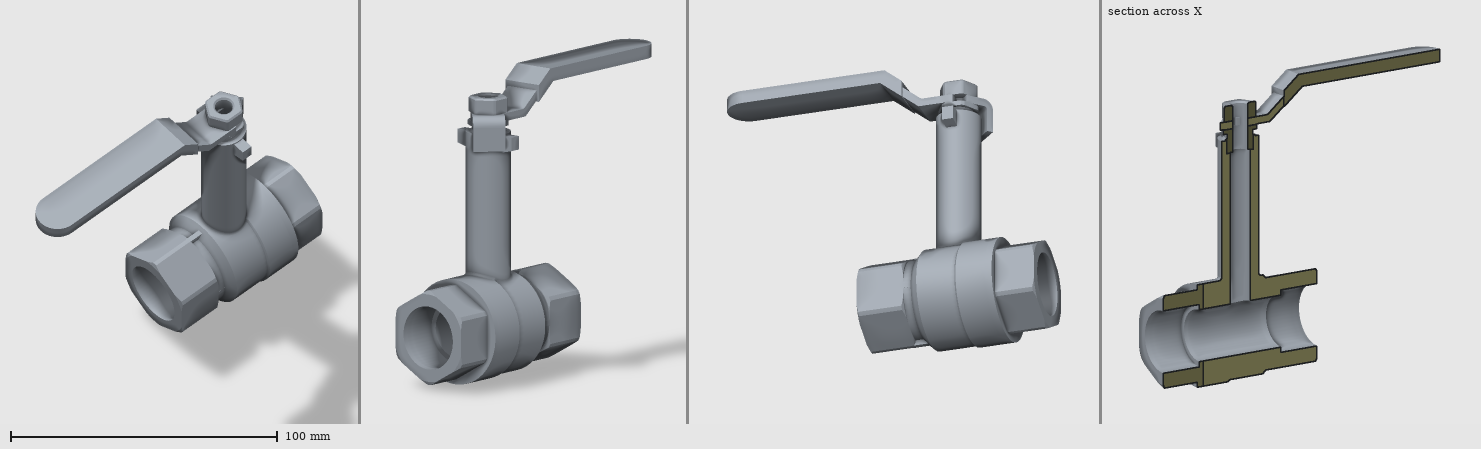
import cadquery as cq
import math


end_y = 35.0
hex_flats = 32.0
hex_round_dia = 36.0
hex_face_dia = 33.4
hex_chamfer = 0.6
port_dia = 20.0
socket_dia = 24.1
socket_depth = 16.4

collar_dia = 40.0
collar_back_y = 19.7
seam_y = 16.9
collar_front_y = 5.4
barrel_dia = 38.5
barrel_front_y = -10.3
neck_dia = 32.0
neck_front_y = -16.6
rib_width = 2.0
rib_overlap = 1.3

tube_dia = 17.0
tube_bore_dia = 9.0
tube_top_z = 73.8
crown_base_dia = 14.0
crown_top_dia = 12.3
crown_height = 0.8
tube_foot_fillet = 1.0
stop_span = 26.5
stop_width = 4.3
stop_top_z = 73.2
stop_outer_height = 5.2
stop_root_height = 6.3

gland_dia = 12.0
gland_depth = 5.0
gland_flats = 14.0
gland_round_dia = 15.5
gland_hex_z = 76.2
gland_chamfer = 0.3
stem_hole_dia = 6.7

plate_bottom_z = 78.1
plate_thickness = 3.0
plate_width = 14.0
slot_flats = 5.0
plate_bend_y = -12.5
plate_bend_radius = 2.3
climb_angle = 38.5
lug_outer = 11.1
lug_left = -5.5
lug_right = 6.5
lug_direction = 135.0
lug_bottom_z = 68.0
lug_thickness = 2.4
lug_outer_bend = 4.0
lug_inner_bend = 1.4

grip_start_y = -19.9
grip_end_y = -91.0
grip_width = 16.4
grip_thickness = 5.0
grip_top_z = 94.57
grip_bend_y = -26.6

nut_flats = 13.1
nut_round_dia = 14.6
nut_height = 6.0
nut_chamfer = 0.6
nut_hole_rim_dia = 8.0

plate_top_z = plate_bottom_z + plate_thickness
climb_slope = math.tan(math.radians(climb_angle))
half_bend_slope = math.tan(math.radians(climb_angle / 2))


def upright_cylinder(diameter, bottom_z, top_z):
    return cq.Workplane("XY").workplane(offset=bottom_z).circle(diameter / 2).extrude(top_z - bottom_z)


def turned_about_y(points):
    """Solid of revolution about Y from (radius, y) points."""
    return cq.Workplane("XY").polyline(points).close().revolve(360, (0, 0, 0), (0, 1, 0))


def hexagon(plane, flats):
    """Hexagon with two flats facing along X."""
    corner_radius = flats / 2 / math.cos(math.pi / 6)
    corners = []
    for i in range(6):
        angle = (i + 0.5) * math.pi / 3
        corners.append((corner_radius * math.cos(angle), corner_radius * math.sin(angle)))
    return cq.Workplane(plane).polyline(corners).close()


def upright_hexagon(flats, round_dia, bottom_z, top_z):
    """Hexagonal prism along Z with its corners trimmed to a cylinder."""
    prism = hexagon("XY", flats).extrude(top_z - bottom_z).translate((0, 0, bottom_z))
    return prism.intersect(upright_cylinder(round_dia, bottom_z, top_z))


def pipe_hexagon(inner_y, outer_y, inner_face_dia):
    """Hexagonal pipe end from inner_y to outer_y, its corners trimmed and chamfered."""
    toward_end = math.copysign(1, outer_y - inner_y)
    prism = hexagon("XZ", hex_flats).extrude(-(outer_y - inner_y)).translate((0, inner_y, 0))
    trim = turned_about_y([
        (0, inner_y),
        (inner_face_dia / 2, inner_y),
        (hex_round_dia / 2, inner_y + toward_end * hex_chamfer),
        (hex_round_dia / 2, outer_y - toward_end * hex_chamfer),
        (hex_face_dia / 2, outer_y),
        (0, outer_y),
    ])
    return prism.intersect(trim)


def flow_passage():
    """Passage along Y with a wider pipe socket at each end."""
    socket_floor = end_y - socket_depth
    return turned_about_y([
        (0, -end_y),
        (socket_dia / 2, -end_y),
        (socket_dia / 2, -socket_floor),
        (port_dia / 2, -socket_floor),
        (port_dia / 2, socket_floor),
        (socket_dia / 2, socket_floor),
        (socket_dia / 2, end_y),
        (0, end_y),
    ])


def make_barrel():
    collar_step = (collar_dia - barrel_dia) / 2
    cone_length = (barrel_dia - neck_dia) / 2
    return turned_about_y([
        (0, seam_y),
        (collar_dia / 2, seam_y),
        (collar_dia / 2, collar_front_y),
        (barrel_dia / 2, collar_front_y - collar_step),
        (barrel_dia / 2, barrel_front_y),
        (neck_dia / 2, barrel_front_y - cone_length),
        (neck_dia / 2, neck_front_y),
        (0, neck_front_y),
    ])


def make_neck_ribs():
    """Four ribs that carry the hexagon's outline across the neck into the cone."""
    rib_front_y = neck_front_y - rib_overlap
    length = barrel_front_y - rib_front_y
    center = (0, (barrel_front_y + rib_front_y) / 2, 0)
    upright = cq.Workplane("XY").box(rib_width, length, hex_round_dia).translate(center)
    level = cq.Workplane("XY").box(hex_flats, length, rib_width).translate(center)
    return upright.union(level)


def make_handle_stops():
    """Two stops on opposite sides of the tube, with undersides that slope down to the tube."""
    tip = stop_span / 2
    root = tube_dia / 2
    outline = [
        (-tip, stop_top_z),
        (tip, stop_top_z),
        (tip, stop_top_z - stop_outer_height),
        (root, stop_top_z - stop_root_height),
        (-root, stop_top_z - stop_root_height),
        (-tip, stop_top_z - stop_outer_height),
    ]
    return cq.Workplane("XZ").polyline(outline).close().extrude(stop_width / 2, both=True)


def make_tube_crown():
    return (
        cq.Workplane("XY").workplane(offset=tube_top_z).circle(crown_base_dia / 2)
        .workplane(offset=crown_height).circle(crown_top_dia / 2).loft()
    )


class TubeFoot(cq.Selector):
    """Edges where the tube meets the barrel."""

    tolerance = 0.01
    sample_shares = (0, 0.3, 0.7, 1)

    def filter(self, edges):
        return [edge for edge in edges if self.is_foot(edge)]

    def is_foot(self, edge):
        for share in self.sample_shares:
            point = edge.positionAt(share)
            off_tube = abs(math.hypot(point.x, point.y) - tube_dia / 2)
            if off_tube > self.tolerance or point.z > collar_dia / 2 + self.tolerance:
                return False
        return True


def make_body():
    body = make_barrel().union(upright_cylinder(tube_dia, 0, tube_top_z))
    body = body.edges(TubeFoot()).fillet(tube_foot_fillet)
    body = body.union(make_tube_crown()).union(make_handle_stops())
    body = body.union(make_neck_ribs()).union(pipe_hexagon(neck_front_y, -end_y, hex_face_dia))
    gland_hole = upright_cylinder(gland_dia, tube_top_z - gland_depth, plate_bottom_z)
    tube_bore = upright_cylinder(tube_bore_dia, 0, tube_top_z)
    body = body.cut(flow_passage()).cut(tube_bore)
    return body.cut(gland_hole)


def make_end_cap():
    flange = turned_about_y([
        (0, seam_y),
        (collar_dia / 2, seam_y),
        (collar_dia / 2, collar_back_y),
        (0, collar_back_y),
    ])
    hex_end = pipe_hexagon(collar_back_y, end_y, hex_round_dia)
    return flange.union(hex_end).cut(flow_passage())


def make_gland():
    shank = upright_cylinder(gland_dia, tube_top_z - gland_depth, gland_hex_z)
    head = upright_hexagon(gland_flats, gland_round_dia, gland_hex_z, plate_bottom_z)
    rounding = upright_cylinder(gland_round_dia, gland_hex_z, plate_bottom_z)
    head = head.intersect(rounding.faces(">Z").chamfer(gland_chamfer))
    hole = upright_cylinder(stem_hole_dia, tube_top_z - gland_depth, plate_bottom_z)
    return shank.union(head).cut(hole)


def make_plate_lug():
    """Lug that leaves the plate sideways and bends down; built along +X, then turned."""
    inner_face = lug_outer - lug_thickness
    outline = [
        (0, plate_bottom_z),
        (inner_face, plate_bottom_z),
        (inner_face, lug_bottom_z),
        (lug_outer, lug_bottom_z),
        (lug_outer, plate_top_z),
        (0, plate_top_z),
    ]
    lug = cq.Workplane("XZ").polyline(outline).close().extrude(lug_right - lug_left)
    lug = lug.translate((0, -lug_left, 0))
    outer_corner = cq.selectors.NearestToPointSelector((lug_outer, 0, plate_top_z))
    inner_corner = cq.selectors.NearestToPointSelector((inner_face, 0, plate_bottom_z))
    lug = lug.edges("|Y").edges(outer_corner).fillet(lug_outer_bend)
    lug = lug.edges("|Y").edges(inner_corner).fillet(lug_inner_bend)
    return lug.rotate((0, 0, 0), (0, 0, 1), lug_direction)


def make_handle_strip():
    """Flat strip over the tube that climbs toward the grip."""
    rise = (plate_bend_y - grip_start_y) * climb_slope
    lower_bend_y = plate_bend_y - plate_thickness * half_bend_slope
    lower_rise = (lower_bend_y - grip_start_y) * climb_slope
    outline = [
        (0, plate_bottom_z),
        (0, plate_top_z),
        (plate_bend_y, plate_top_z),
        (grip_start_y, plate_top_z + rise),
        (grip_start_y, plate_bottom_z + lower_rise),
        (lower_bend_y, plate_bottom_z),
    ]
    strip = cq.Workplane("YZ").polyline(outline).close().extrude(plate_width / 2, both=True)
    bend = cq.selectors.NearestToPointSelector((0, plate_bend_y, plate_top_z))
    return strip.edges("|X").edges(bend).fillet(plate_bend_radius)


def make_stem_slot():
    """Round hole with two flats."""
    flats = cq.Workplane("XY").rect(slot_flats, stem_hole_dia).extrude(plate_top_z)
    return upright_cylinder(stem_hole_dia, plate_bottom_z, plate_top_z).intersect(flats)


def make_handle():
    return make_handle_strip().union(make_plate_lug()).cut(make_stem_slot())


def make_grip():
    grip_bottom_z = grip_top_z - grip_thickness
    lower_bend_y = grip_bend_y - grip_thickness * half_bend_slope
    outline = [
        (grip_end_y, grip_bottom_z),
        (grip_end_y, grip_top_z),
        (grip_bend_y, grip_top_z),
        (grip_start_y, grip_top_z - (grip_start_y - grip_bend_y) * climb_slope),
        (grip_start_y, grip_bottom_z - (grip_start_y - lower_bend_y) * climb_slope),
        (lower_bend_y, grip_bottom_z),
    ]
    grip = cq.Workplane("YZ").polyline(outline).close().extrude(grip_width / 2, both=True)
    side = grip_width / 2
    plan = (
        cq.Workplane("XY")
        .moveTo(-side, grip_start_y)
        .lineTo(-side, grip_end_y + side)
        .threePointArc((0, grip_end_y), (side, grip_end_y + side))
        .lineTo(side, grip_start_y)
        .close()
        .extrude(grip_top_z)
    )
    return grip.intersect(plan)


def make_nut():
    nut_top_z = plate_top_z + nut_height
    nut = upright_hexagon(nut_flats, nut_round_dia, plate_top_z, nut_top_z)
    nut = nut.faces(">Z").edges().chamfer(nut_chamfer)
    rim = (nut_hole_rim_dia - stem_hole_dia) / 2
    nut = nut.cut(upright_cylinder(stem_hole_dia, plate_top_z, nut_top_z))
    return nut.faces(">Z").edges("%CIRCLE").edges(cq.selectors.RadiusNthSelector(0)).chamfer(rim)


body = make_body()
end_cap = make_end_cap()
gland = make_gland()
handle = make_handle()
grip = make_grip()
nut = make_nut()

result = cq.Compound.makeCompound([
    body.val(),
    end_cap.val(),
    gland.val(),
    handle.val(),
    grip.val(),
    nut.val(),
])